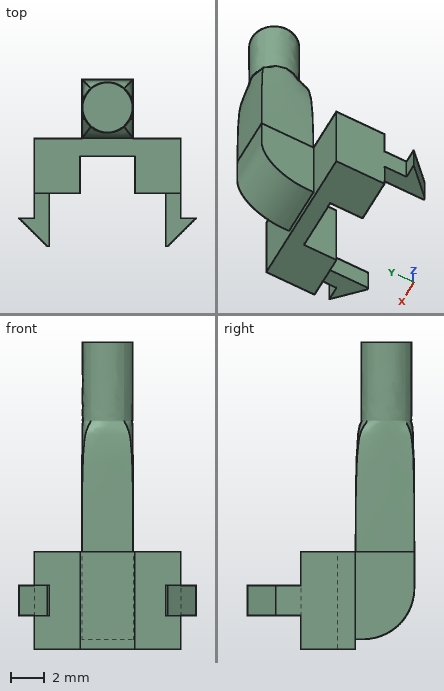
import cadquery as cq
import math

BODY_WIDTH = 8.71
BODY_DEPTH = 3.26
BODY_HEIGHT = 5.81
NOTCH_WIDTH = 3.26
NOTCH_DEPTH = 2.19

LEG_THICKNESS = 0.90
LEG_HEIGHT = 1.80
LEG_LENGTH = 3.15
BARB_REACH = 0.90
BARB_START = 1.48
TIP_FLAT = 0.12

STEM_WIDTH = 3.05
STEM_DEPTH = 3.51
ELBOW_BOTTOM = 0.60
ELBOW_RADIUS = 3.05
TOTAL_HEIGHT = 18.25
SHANK_RADIUS = 1.50
SHANK_LENGTH = 4.65
SHANK_OFFSET = 0.08

SHOULDER_EASE = 0.30
SHOULDER_SHARPNESS = 0.50
BLEND_STEPS = 10
SHANK_STEPS = 8
LEAST_ROUNDNESS = 0.001

STEM_CENTER_Y = STEM_DEPTH / 2
SHANK_BOTTOM = TOTAL_HEIGHT - SHANK_LENGTH
BLEND_LENGTH = SHANK_BOTTOM - BODY_HEIGHT


def make_body():
    block = cq.Workplane("XY").box(BODY_WIDTH, BODY_DEPTH, BODY_HEIGHT, centered=(True, False, False))
    block = block.translate((0, -BODY_DEPTH, 0))
    notch = cq.Workplane("XY").box(NOTCH_WIDTH, NOTCH_DEPTH, BODY_HEIGHT, centered=(True, False, False))
    return block.cut(notch.translate((0, -BODY_DEPTH, 0)))


def make_right_leg():
    outer = BODY_WIDTH / 2
    inner = outer - LEG_THICKNESS
    root = -BODY_DEPTH
    barb = root - BARB_START
    tip = root - LEG_LENGTH
    outline = [
        (inner, root),
        (outer, root),
        (outer, barb),
        (outer + BARB_REACH, barb),
        (inner + TIP_FLAT, tip),
        (inner, tip),
    ]
    leg_bottom = (BODY_HEIGHT - LEG_HEIGHT) / 2
    return cq.Workplane("XY").workplane(offset=leg_bottom).polyline(outline).close().extrude(LEG_HEIGHT)


def make_elbow():
    height = BODY_HEIGHT - ELBOW_BOTTOM
    elbow = cq.Workplane("XY").box(STEM_WIDTH, STEM_DEPTH, height, centered=(True, False, False))
    elbow = elbow.edges(">Y and <Z").fillet(ELBOW_RADIUS)
    return elbow.translate((0, 0, ELBOW_BOTTOM))


def stem_section(z, roundness):
    """Four-sided wire at height z; roundness 0 is the full rectangle, 1 the shank circle."""

    def mix(flat, curved):
        return flat + (curved - flat) * roundness

    corner_angle = math.atan2(STEM_DEPTH, STEM_WIDTH)
    corner_x = mix(STEM_WIDTH / 2, SHANK_RADIUS * math.cos(corner_angle))
    corner_y = mix(STEM_DEPTH / 2, SHANK_RADIUS * math.sin(corner_angle))
    middle_x = mix(STEM_WIDTH / 2, SHANK_RADIUS)
    middle_y = mix(STEM_DEPTH / 2, SHANK_RADIUS)
    center_y = STEM_CENTER_Y + mix(0, SHANK_OFFSET)

    corners = [(-corner_x, -corner_y), (corner_x, -corner_y), (corner_x, corner_y), (-corner_x, corner_y)]
    middles = [(0, -middle_y), (middle_x, 0), (0, middle_y), (-middle_x, 0)]
    edges = []
    for i, middle in enumerate(middles):
        start, through, end = [
            cq.Vector(x, center_y + y, z) for x, y in (corners[i], middle, corners[(i + 1) % len(corners)])
        ]
        edges.append(cq.Edge.makeThreePointArc(start, through, end))
    return cq.Wire.assembleEdges(edges)


def blend_roundness(drop):
    """Roundness of the stem at a distance below the shank, falling from 1 to almost 0 at the elbow."""
    eased_drop = drop**2 / (drop + SHOULDER_EASE)
    roundness = (1 - drop / BLEND_LENGTH) / (1 + eased_drop / SHOULDER_SHARPNESS)
    return max(roundness, LEAST_ROUNDNESS)


def make_stem():
    sections = []
    for step in range(BLEND_STEPS, -1, -1):
        drop = BLEND_LENGTH * (step / BLEND_STEPS) ** 2
        sections.append(stem_section(SHANK_BOTTOM - drop, blend_roundness(drop)))
    for step in range(1, SHANK_STEPS + 1):
        rise = SHANK_LENGTH * (step / SHANK_STEPS) ** 2
        sections.append(stem_section(SHANK_BOTTOM + rise, 1))
    return cq.Workplane(cq.occ_impl.shapes.loft(sections, cap=True, parametrization="uniform"))


right_leg = make_right_leg()
left_leg = right_leg.mirror("YZ")
result = make_body().union(right_leg).union(left_leg).union(make_elbow()).union(make_stem())